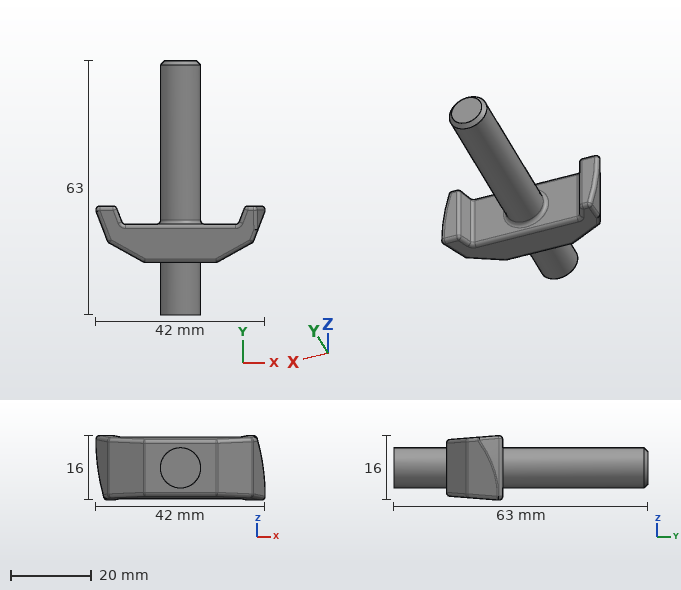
import cadquery as cq
import math

rod_diameter = 10.0
rod_length = 63.0
rod_tip_chamfer = 1.0

rod_front_length = 13.0
bar_depth = 14.0
seat_depth = 9.5
front_half_width = 9.0
knee_half_width = 18.0
knee_depth = 5.0
claw_lean = 21.0
claw_tip_inner_half_width = 16.0

front_half_height = 7.0
face_taper = 4.5

relief_half_width = 20.99
relief_radius = 53.0
relief_center_height = 7.0

edge_radius = 1.0
claw_root_radius = 1.0
rod_root_radius = 1.0

rod_radius = rod_diameter / 2
lean_ratio = math.tan(math.radians(claw_lean))
claw_tip_half_width = knee_half_width + (bar_depth - knee_depth) * lean_ratio
claw_root_half_width = claw_tip_inner_half_width - (bar_depth - seat_depth) * lean_ratio
tip_half_height = front_half_height + bar_depth * math.tan(math.radians(face_taper))


def bar_block():
    """Block with the plan shape of the bar: slanted front corners, two leaning claws at the back."""
    right_half = [
        (front_half_width, 0),
        (knee_half_width, knee_depth),
        (claw_tip_half_width, bar_depth),
        (claw_tip_inner_half_width, bar_depth),
        (claw_root_half_width, seat_depth),
    ]
    left_half = [(-x, y) for x, y in reversed(right_half)]
    plan = cq.Workplane("XY").polyline(right_half + left_half).close()
    return plan.extrude(tip_half_height, both=True)


def height_wedge():
    """Wedge that thickens towards the claw tips and limits the bar in Z."""
    section = [
        (0, -front_half_height),
        (bar_depth, -tip_half_height),
        (bar_depth, tip_half_height),
        (0, front_half_height),
    ]
    return cq.Workplane("YZ").polyline(section).close().extrude(claw_tip_half_width, both=True)


def relief_limit(side):
    """Cylinder along Y that bounds the claw on one side (+1 right, -1 left)."""
    center_x = side * (relief_half_width - relief_radius)
    center_z = -side * relief_center_height
    disc = cq.Workplane("XZ").center(center_x, center_z).circle(relief_radius)
    return disc.extrude(-bar_depth)


def root_region(reach):
    """Selects edges centred near mid height at the concave claw roots."""
    half_width = claw_root_half_width + reach
    return cq.selectors.BoxSelector(
        (-half_width, seat_depth - reach, -reach),
        (half_width, seat_depth + reach, reach),
    )


def cross_bar():
    """Tapered, relieved bar with all its edges rounded."""
    bar = bar_block().intersect(height_wedge())
    for side in (1, -1):
        bar = bar.intersect(relief_limit(side))

    bar = bar.edges(root_region(edge_radius)).fillet(claw_root_radius)
    all_edges = cq.selectors.Selector()
    return bar.edges(all_edges - root_region(claw_root_radius)).fillet(edge_radius)


def rod():
    """Full length rod, chamfered at its rear tip."""
    front_plane = cq.Workplane("XZ", origin=(0, -rod_front_length, 0))
    shaft = front_plane.circle(rod_radius).extrude(-rod_length)
    return shaft.faces(">Y").chamfer(rod_tip_chamfer)


def rod_root_flare():
    """Concave ring blending the rod into the seat between the claws."""
    outer = rod_radius + rod_root_radius
    top = seat_depth + rod_root_radius
    section = (
        cq.Workplane("XY")
        .moveTo(0, seat_depth)
        .lineTo(outer, seat_depth)
        .radiusArc((rod_radius, top), rod_root_radius)
        .lineTo(0, top)
        .close()
    )
    return section.revolve(360, (0, 0, 0), (0, 1, 0))


result = cross_bar().union(rod()).union(rod_root_flare())